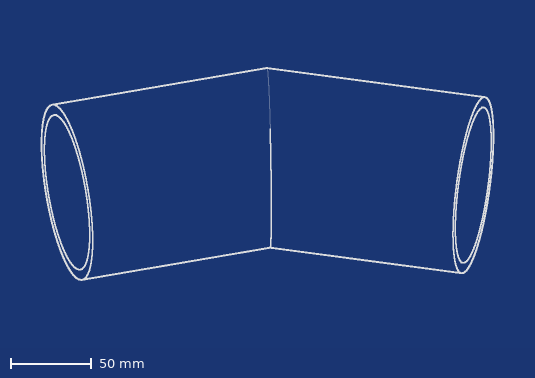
import cadquery as cq
import math

overall_length = 270.5
outer_diameter = 110.0
wall_thickness = 6.5
bend_angle = math.radians(30.0)

outer_radius = outer_diameter / 2
inner_radius = outer_radius - wall_thickness

leg_length = (overall_length - outer_radius * math.sin(bend_angle)) / (1 + math.cos(bend_angle))

joint = (0, leg_length)
far_end = (
    leg_length * math.sin(bend_angle),
    leg_length * (1 + math.cos(bend_angle)),
)
pipe_axis = cq.Workplane("XY").polyline([(0, 0), joint, far_end])

ring_section = cq.Workplane("XZ").circle(outer_radius).circle(inner_radius)
result = ring_section.sweep(pipe_axis, transition="right")